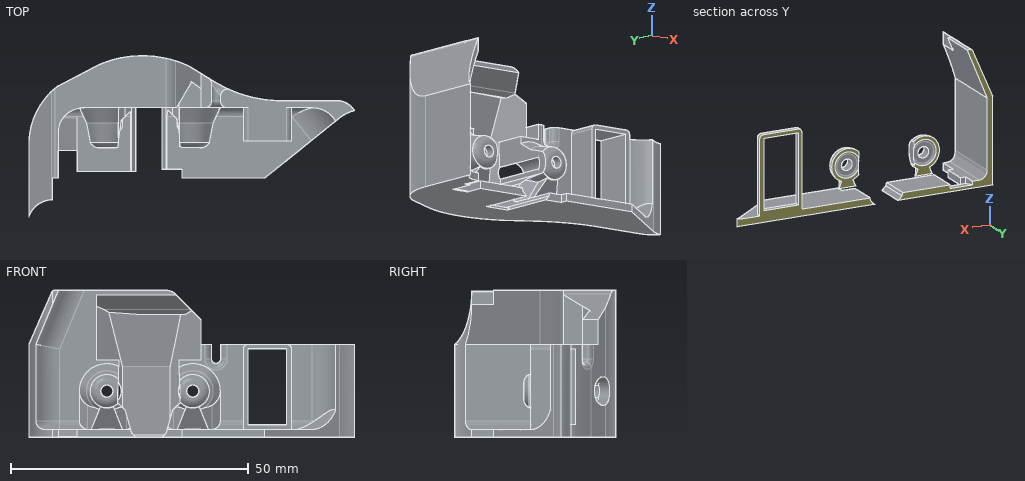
import cadquery as cq
import math

LENGTH = 68.67
HEIGHT = 31.03
REACH = 50.0
EDGE_MARGIN = 0.3

BACK_Y = 11.0
FRONT_Y = -23.01
LOW_WALL_Z = 19.6
TALL_END_X = 36.3
SLOPE_START_Z = 24.8
SLOPE_ROUND = 2.9
LEAN_X = 5.0
LEAN_ROUND = 0.8
RIM_Y = 1.5

SIDE_CURVE_START = (0, -7.7)
SIDE_CURVE_MID = (1.65, -0.75)
SIDE_CURVE_END = (6.0, 4.5)
CROWN_START = (14.5, 8.95)
CROWN_MID = (24.2, BACK_Y)
CROWN_END = (33.8, 8.75)
WAIST_START = (38.7, 5.75)
WAIST_MID = (44.8, 2.85)
WAIST_END = (52.5, RIM_Y)
TIP_CURVE_START = (65.6, RIM_Y)
TIP_CURVE_MID = (67.2, 0.85)
TIP = (LENGTH, -0.58)
TIP_INNER_MID = (67.0, -1.2)
SIDE_TIP_MID = (1.6, -20.65)

FLOOR = 1.65
SIDE_WALL = 1.5
LEAN_WALL_TOP_X = 6.25
CAVITY_END_X = 65.5
LEFT_CORNER_R = 5.0
RIGHT_CORNER_R = 5.8
FLOOR_FILLET = 1.85

LEFT_FLOOR_X = 10.2
LEFT_FLOOR_Y = -13.45
RAMP_FRONT_Y = -9.06
RAMP_BACK_Y = -2.2
RAMP_FRONT_Z = 0.2
LEAN_WALL_END_Y = -14.85
SIDE_TIP_Y = -19.4
RIGHT_FLOOR_STEP_X = 32.25
RIGHT_FLOOR_STEP_Y = -13.0
RIGHT_FLOOR_Y = -14.85
DIAGONAL_FRONT_X = 49.7
DIAGONAL_BACK = (65.5, -2.15)

SCREW_D = 2.5
BOSS_Z = 9.75
BOSS_X = (16.45, 34.55)
BOSS_STEP_Y = -3.2
BOSS_NOSE_Y = -7.3
BOSS_TIP_Y = -8.4
BOSS_ROOT_R = 5.8
BOSS_STEP_R = 4.3
BOSS_NOSE_R = 3.5
BOSS_TIP_R = SCREW_D / 2
PEDESTAL_SHOULDER = (4.1, -1.6)
PEDESTAL_NOSE = (1.6, -4.1)
HEAD_D = 6.0
HEAD_END_Y = -6.2
HEAD_END_ROUND = 0.6
GUSSET_TOP_Z = 6.6
GUSSET_TOP_Y = -7.2
GUSSET_TOP_HALF = 1.3
GUSSET_BASE_HALF = 3.3
GUSSET_BASE_Y = -4.0

CHANNEL_X = 25.3
POCKET_HALF = 11.0
POCKET_SIDE_Y = 4.0
POCKET_SIDE_SLOPE = 0.745
SHELF_Z = 16.35
POCKET_TOP_Z = 30.0
CEILING_BEND = (5.2, 26.9)
CEILING_END = (6.5, 25.9)
CHANNEL_TOP_HALF = 6.3
CHANNEL_SHOULDER = (6.6, 7.3)
CHANNEL_KNEE = (5.0, 5.75)
CHANNEL_FOOT = (3.65, 0.95)
CHANNEL_BASE_HALF = 2.75
CHANNEL_BACK_Z = 0.5
BACK_Y_LOW = 8.5
BACK_BEND_Z = 14.9
BACK_LEAN = 0.167
BACK_SKEW = 0.08

NOTCH_X = 39.45
NOTCH_HALF = 0.95
NOTCH_Z = 16.55
NOTCH_FLARE = 1.4

FRAME_X = (45.2, 55.35)
FRAME_FRONT_Y = -7.0
FRAME_ROUND = 1.0
WINDOW_X = (46.2, 54.25)
WINDOW_Z = (2.7, 18.65)

END_RAMP_START = (57.6, -4.5)
END_RAMP_R = 7.3


def block(x_range, y_range, z_range):
    """Axis-aligned box from its three coordinate ranges."""
    size = [high - low for low, high in (x_range, y_range, z_range)]
    corner = (x_range[0], y_range[0], z_range[0])
    return cq.Workplane("XY").box(*size, centered=False).translate(corner)


def across(profile, y_low, y_high):
    """Extrude a closed X-Z profile from y_low to y_high."""
    solid = profile.extrude(y_high - y_low)
    return solid.translate((0, y_high, 0))


def plan_body():
    """Outer plan of shell and floor, extruded to the full height."""
    outline = (
        cq.Workplane("XY")
        .moveTo(0, FRONT_Y)
        .lineTo(*SIDE_CURVE_START)
        .threePointArc(SIDE_CURVE_MID, SIDE_CURVE_END)
        .lineTo(*CROWN_START)
        .threePointArc(CROWN_MID, CROWN_END)
        .lineTo(*WAIST_START)
        .threePointArc(WAIST_MID, WAIST_END)
        .lineTo(*TIP_CURVE_START)
        .threePointArc(TIP_CURVE_MID, TIP)
        .threePointArc(TIP_INNER_MID, DIAGONAL_BACK)
        .lineTo(DIAGONAL_FRONT_X, RIGHT_FLOOR_Y)
        .lineTo(RIGHT_FLOOR_STEP_X, RIGHT_FLOOR_Y)
        .lineTo(RIGHT_FLOOR_STEP_X, RIGHT_FLOOR_STEP_Y)
        .lineTo(CHANNEL_X, RIGHT_FLOOR_STEP_Y)
        .lineTo(CHANNEL_X, LEFT_FLOOR_Y)
        .lineTo(LEFT_FLOOR_X, LEFT_FLOOR_Y)
        .lineTo(LEFT_FLOOR_X, RAMP_FRONT_Y)
        .lineTo(LEAN_WALL_TOP_X, RAMP_FRONT_Y)
        .lineTo(LEAN_WALL_TOP_X, LEAN_WALL_END_Y)
        .lineTo(LEAN_X, LEAN_WALL_END_Y)
        .lineTo(LEAN_X, SIDE_TIP_Y)
        .threePointArc(SIDE_TIP_MID, (0, FRONT_Y))
        .close()
    )
    return outline.extrude(HEIGHT)


def height_envelope():
    """Front profile: leaning left side, tall dome with a sloped end, low right wall."""
    slope_end_x = TALL_END_X - (HEIGHT - SLOPE_START_Z)
    profile = cq.Workplane("XZ").polyline([
        (0, 0),
        (LENGTH, 0),
        (LENGTH, LOW_WALL_Z),
        (TALL_END_X, LOW_WALL_Z),
        (TALL_END_X, SLOPE_START_Z),
        (slope_end_x, HEIGHT),
        (LEAN_X, HEIGHT),
        (0, LOW_WALL_Z),
    ]).close()
    envelope = across(profile, -REACH, REACH)
    top_edges = envelope.faces(">Z").edges("|Y")
    envelope = top_edges.edges("<X").fillet(LEAN_ROUND)
    return envelope.faces(">Z").edges("|Y").edges(">X").fillet(SLOPE_ROUND)


def cavity():
    """Open space in front of the inner wall face, with rounded corners and floor edge."""
    profile = cq.Workplane("XZ").polyline([
        (SIDE_WALL, FLOOR),
        (CAVITY_END_X, FLOOR),
        (CAVITY_END_X, HEIGHT),
        (LEAN_WALL_TOP_X, HEIGHT),
        (SIDE_WALL, LOW_WALL_Z),
    ]).close()
    space = across(profile, -REACH, 0)
    space = space.faces(">Y").edges(">X").fillet(RIGHT_CORNER_R)
    wall_corners = cq.selectors.BoxSelector(
        (0, -EDGE_MARGIN, FLOOR + EDGE_MARGIN),
        (LEAN_WALL_TOP_X, EDGE_MARGIN, HEIGHT - EDGE_MARGIN))
    space = space.edges(wall_corners).fillet(LEFT_CORNER_R)
    return space.faces("<Z").edges("not <Y").fillet(FLOOR_FILLET)


def end_ramp():
    """Concave quarter-round fill rising from the floor along the diagonal edge."""
    bulge = math.sqrt(0.5)
    run_x = DIAGONAL_BACK[0] - DIAGONAL_FRONT_X
    run_y = DIAGONAL_BACK[1] - RIGHT_FLOOR_Y
    run = math.hypot(run_x, run_y)
    along = (run_x / run, run_y / run, 0)
    inward = (-run_y / run, run_x / run, 0)
    plane = cq.Plane(origin=(*END_RAMP_START, FLOOR), xDir=along, normal=(inward[0], inward[1], 0))
    height = LOW_WALL_Z - FLOOR
    profile = (
        cq.Workplane(plane)
        .moveTo(0, 0)
        .threePointArc(
            (END_RAMP_R * bulge, -END_RAMP_R * (1 - bulge)),
            (END_RAMP_R, -END_RAMP_R))
        .lineTo(END_RAMP_R, -height)
        .lineTo(2 * END_RAMP_R, -height)
        .lineTo(2 * END_RAMP_R, 0)
        .close()
    )
    return profile.extrude(REACH / 2, both=True)


def boss(x):
    """Tapered round boss with a pedestal and gusset carrying it from the floor."""
    bulge = math.sqrt(0.5)
    nose_x = BOSS_TIP_R + bulge * (BOSS_NOSE_R - BOSS_TIP_R)
    nose_y = BOSS_NOSE_Y + bulge * (BOSS_TIP_Y - BOSS_NOSE_Y)
    half_plan = [(BOSS_ROOT_R, 0), PEDESTAL_SHOULDER, PEDESTAL_NOSE]
    right = [(x + half, y) for half, y in half_plan]
    left = [(x - half, y) for half, y in reversed(half_plan)]
    cone = (
        cq.Workplane("XY")
        .moveTo(0, 0)
        .lineTo(BOSS_ROOT_R, 0)
        .lineTo(BOSS_STEP_R, BOSS_STEP_Y)
        .lineTo(BOSS_NOSE_R, BOSS_NOSE_Y)
        .threePointArc((nose_x, nose_y), (BOSS_TIP_R, BOSS_TIP_Y))
        .lineTo(0, BOSS_TIP_Y)
        .close()
        .revolve(360, (0, 0), (0, 1))
        .translate((x, 0, BOSS_Z))
    )
    pedestal = cq.Workplane("XY").polyline(right + left).close().extrude(BOSS_Z)
    return pedestal.union(boss_gusset(x)).union(cone)


def boss_gusset(x):
    """Web under the boss: it leans forward and narrows towards the top."""
    side = (
        cq.Workplane("YZ")
        .polyline([
            (0, FLOOR),
            (GUSSET_BASE_Y, FLOOR),
            (GUSSET_TOP_Y, GUSSET_TOP_Z),
            (0, GUSSET_TOP_Z),
        ])
        .close()
        .extrude(BOSS_ROOT_R, both=True)
        .translate((x, 0, 0))
    )
    front = cq.Workplane("XZ").polyline([
        (x - GUSSET_BASE_HALF, FLOOR),
        (x + GUSSET_BASE_HALF, FLOOR),
        (x + GUSSET_TOP_HALF, GUSSET_TOP_Z),
        (x - GUSSET_TOP_HALF, GUSSET_TOP_Z),
    ]).close()
    return side.intersect(across(front, BOSS_TIP_Y, 0))


def screw_bore(x):
    """Wide head bore from the back and a narrow screw hole through the tip."""
    head = across(cq.Workplane("XZ").center(x, BOSS_Z).circle(HEAD_D / 2), HEAD_END_Y, REACH)
    head = head.faces("<Y").edges().fillet(HEAD_END_ROUND)
    shank = across(cq.Workplane("XZ").center(x, BOSS_Z).circle(SCREW_D / 2), -REACH, 0)
    return head.union(shank)


def recess_plan():
    """Vertical prism of the recess: parallel sides, then converging sides."""
    left = CHANNEL_X - POCKET_HALF
    right = CHANNEL_X + POCKET_HALF
    apex_y = POCKET_SIDE_Y + POCKET_SIDE_SLOPE * POCKET_HALF
    outline = cq.Workplane("XY").polyline([
        (left, -REACH),
        (right, -REACH),
        (right, POCKET_SIDE_Y),
        (CHANNEL_X, apex_y),
        (left, POCKET_SIDE_Y),
    ]).close()
    return outline.extrude(HEIGHT)


def recess_depth():
    """Everything in front of the back face, which leans forward above the bend and is skewed."""
    lean = BACK_LEAN * (HEIGHT - BACK_BEND_Z)
    profile = (
        cq.Workplane("YZ")
        .polyline([
            (-2 * REACH, 0),
            (BACK_Y_LOW, 0),
            (BACK_Y_LOW, BACK_BEND_Z),
            (BACK_Y_LOW - lean, HEIGHT),
            (-2 * REACH, HEIGHT),
        ])
        .close()
    )
    solid = profile.extrude(REACH, both=True)
    skew_angle = math.degrees(math.atan(BACK_SKEW))
    pivot = (0, BACK_Y_LOW, 0)
    return solid.rotate(pivot, (0, BACK_Y_LOW, 1), skew_angle).translate((CHANNEL_X, 0, 0))


def pocket():
    ceiling = (
        cq.Workplane("YZ")
        .polyline([
            (0, SHELF_Z),
            (0, POCKET_TOP_Z),
            CEILING_BEND,
            CEILING_END,
            (BACK_Y, CEILING_END[1]),
            (BACK_Y, SHELF_Z),
        ])
        .close()
        .extrude(REACH)
    )
    return recess_plan().intersect(recess_depth()).intersect(ceiling)


def channel():
    half_profile = [
        (CHANNEL_BASE_HALF, 0),
        CHANNEL_FOOT,
        CHANNEL_KNEE,
        CHANNEL_SHOULDER,
        (CHANNEL_TOP_HALF, SHELF_Z),
    ]
    right = [(CHANNEL_X + half, z) for half, z in half_profile]
    left = [(CHANNEL_X - half, z) for half, z in reversed(half_profile)]
    profile = cq.Workplane("XZ").polyline(right + left).close()
    shape = across(profile, -REACH, REACH)
    shape = shape.intersect(recess_plan()).intersect(recess_depth())
    return shape.cut(block((0, LENGTH), (0, REACH), (0, CHANNEL_BACK_Z)))


def floor_ramp():
    profile = (
        cq.Workplane("YZ")
        .polyline([
            (RAMP_FRONT_Y, RAMP_FRONT_Z),
            (RAMP_BACK_Y, FLOOR),
            (RAMP_FRONT_Y, FLOOR),
        ])
        .close()
    )
    return profile.extrude(LEFT_FLOOR_X - LEAN_X).translate((LEAN_X, 0, 0))


def window_frame():
    frame = block(FRAME_X, (FRAME_FRONT_Y, 0), (0, LOW_WALL_Z))
    return frame.faces(">Z").edges("|Y").fillet(FRAME_ROUND)


def cable_notch():
    slot = across(cq.Workplane("XZ").center(NOTCH_X, NOTCH_Z).circle(NOTCH_HALF), -EDGE_MARGIN, REACH)
    sides = (NOTCH_X - NOTCH_HALF, NOTCH_X + NOTCH_HALF)
    return slot.union(block(sides, (-EDGE_MARGIN, REACH), (NOTCH_Z, HEIGHT)))


def flare_notch(body):
    """Round over the notch rim where it meets both faces of the wall."""
    sides = (NOTCH_X - NOTCH_HALF, NOTCH_X + NOTCH_HALF)
    bottom_z = NOTCH_Z - NOTCH_HALF - EDGE_MARGIN
    inner_rim = cq.selectors.BoxSelector(
        (sides[0] - EDGE_MARGIN, -EDGE_MARGIN, bottom_z),
        (sides[1] + EDGE_MARGIN, EDGE_MARGIN, LOW_WALL_Z - EDGE_MARGIN))
    outer_rim = cq.selectors.BoxSelector(
        (sides[0] - EDGE_MARGIN, RIM_Y, bottom_z),
        (sides[1] + EDGE_MARGIN, BACK_Y, LOW_WALL_Z - EDGE_MARGIN))
    body = body.edges(inner_rim).edges("not |Y").fillet(NOTCH_FLARE)
    return body.edges(outer_rim).edges("not |Y").fillet(NOTCH_FLARE)


result = plan_body().intersect(height_envelope())
result = result.cut(cavity().cut(end_ramp()))
result = result.cut(floor_ramp())
for boss_x in BOSS_X:
    result = result.union(boss(boss_x))
result = result.union(window_frame())
for boss_x in BOSS_X:
    result = result.cut(screw_bore(boss_x))
result = result.cut(pocket()).cut(channel())
result = result.cut(block(WINDOW_X, (-REACH, REACH), WINDOW_Z))
result = flare_notch(result.cut(cable_notch()))